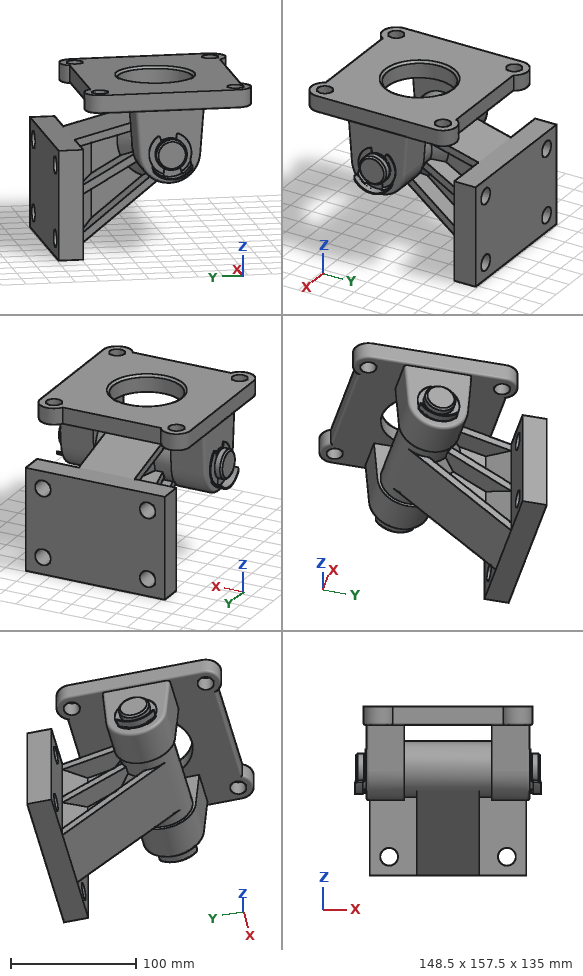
import cadquery as cq
import math


pin_radius = 12.5
pin_half_length = 73.5
pin_chamfer = 1.5
groove_radius = 10.5
groove_width = 2.0

plate_top = 50.0
plate_thickness = 15.0
plate_bottom = plate_top - plate_thickness
plate_hole_offset = 55.0
plate_hole_diameter = 13.0
plate_corner_radius = 12.5
plate_half_width = plate_hole_offset + plate_corner_radius
plate_half_depth = 61.0
plate_edge_fillet = 2.0
opening_diameter = 60.0
opening_chamfer = 2.0
lug_inner = 34.75
lug_outer = 65.25
lug_radius = 25.0
lug_taper = math.radians(4.4)
lug_edge_fillet = 2.5

wall_width = 125.0
wall_front = 70.0
wall_thickness = 20.0
wall_top = 5.0
wall_height = 90.0
wall_bottom = wall_top - wall_height
wall_middle = wall_top - wall_height / 2
wall_hole_diameter = 14.0
wall_hole_spacing_x = 94.0
wall_hole_spacing_z = 60.0
tube_radius = 22.5
arm_half_width = 25.0
rib_thickness = 6.5
wall_flare = 16.7
web_half_thickness = arm_half_width - wall_flare
tube_flare = 10.0

clip_thickness = 1.0
clip_outer_radius = 17.2
clip_turn = 6.4
slot_half_width = 6.4
slot_corner_radius = 1.2
slot_side_angle = math.radians(13.5)
tab_half_width = 15.6
tab_outer_radius = 20.0
tab_end = 74.25
bend_rise = 1.5
tab_bend = 68.1
tab_corner_radius = 1.5
clip_seat = lug_outer
clip_face = clip_seat + clip_thickness


def cylinder_x(radius, start, end):
    """Cylinder about the X axis between two X positions."""
    return cq.Workplane("YZ").workplane(offset=start).circle(radius).extrude(end - start)


def tangent_point(y, z, radius, side):
    """Where the line from (y, z) touches a circle about the pin axis; side is +1 above, -1 below."""
    direction = math.atan2(z, y) + side * math.acos(radius / math.hypot(y, z))
    return (radius * math.cos(direction), radius * math.sin(direction))


def make_pin():
    pin = cylinder_x(pin_radius, -pin_half_length, pin_half_length)
    pin = pin.faces("<X or >X").chamfer(pin_chamfer)
    groove = cylinder_x(pin_radius, clip_seat, clip_seat + groove_width)
    groove = groove.cut(cylinder_x(groove_radius, clip_seat, clip_seat + groove_width))
    return pin.cut(groove).cut(groove.mirror("YZ"))


def make_lug():
    """Lug on the +X side, tapering down to a round end about the pin axis."""
    tangent_y = lug_radius * math.cos(lug_taper)
    tangent_z = -lug_radius * math.sin(lug_taper)
    top_y = tangent_y + (plate_bottom - tangent_z) * math.tan(lug_taper)
    lug = (
        cq.Workplane("YZ")
        .workplane(offset=lug_inner)
        .moveTo(-top_y, plate_bottom)
        .lineTo(-tangent_y, tangent_z)
        .threePointArc((0, -lug_radius), (tangent_y, tangent_z))
        .lineTo(top_y, plate_bottom)
        .close()
        .extrude(lug_outer - lug_inner)
    )
    return lug.faces(">X").edges("not >Z").fillet(lug_edge_fillet)


def make_yoke():
    corners = [(x, y) for x in (-plate_hole_offset, plate_hole_offset)
               for y in (-plate_hole_offset, plate_hole_offset)]
    base = cq.Workplane("XY").workplane(offset=plate_bottom)
    plate = base.rect(2 * plate_half_width, 2 * plate_hole_offset).extrude(plate_thickness)
    plate = plate.union(base.rect(2 * plate_hole_offset, 2 * plate_half_depth).extrude(plate_thickness))
    plate = plate.union(base.pushPoints(corners).circle(plate_corner_radius).extrude(plate_thickness))
    plate = plate.clean().faces("<Z").edges().fillet(plate_edge_fillet)
    plate = plate.cut(base.pushPoints(corners).circle(plate_hole_diameter / 2).extrude(plate_thickness))
    plate = plate.cut(base.circle(opening_diameter / 2).extrude(plate_thickness))
    rim = plate.faces(">Z").edges(cq.selectors.RadiusNthSelector(-1))
    plate = rim.chamfer(opening_chamfer)
    lug = make_lug()
    yoke = plate.union(lug).union(lug.mirror("YZ"))
    return yoke.cut(cylinder_x(pin_radius, -lug_outer, lug_outer))


def make_arm():
    """Arm between tube and wall: a flared web framed by two flanges and a middle rib."""
    upper = tangent_point(wall_front, wall_top, tube_radius, 1)
    lower = tangent_point(wall_front, wall_bottom, tube_radius, -1)
    outline = (
        cq.Workplane("YZ")
        .polyline([(0, 0), upper, (wall_front, wall_top), (wall_front, wall_bottom), lower])
        .close()
    )
    arm = outline.extrude(arm_half_width, both=True)

    inner_radius = tube_radius - rib_thickness
    upper_slope = math.atan2(upper[1] - wall_top, wall_front - upper[0])
    lower_slope = math.atan2(lower[1] - wall_bottom, wall_front - lower[0])
    inner_top = wall_top - rib_thickness / math.cos(upper_slope)
    inner_bottom = wall_bottom + rib_thickness / math.cos(lower_slope)
    pocket_outline = (
        cq.Workplane("YZ")
        .polyline([
            (0, 0),
            tangent_point(wall_front, inner_top, inner_radius, 1),
            (wall_front, inner_top),
            (wall_front, inner_bottom),
            tangent_point(wall_front, inner_bottom, inner_radius, -1),
        ])
        .close()
        .extrude(arm_half_width)
    )
    rib_reach = math.hypot(wall_front + wall_thickness, wall_middle)
    rib_angle = math.degrees(math.atan2(wall_middle, wall_front))
    rib = (
        cq.Workplane("XY")
        .box(arm_half_width, 2 * rib_reach, rib_thickness, centered=(False, True, True))
        .rotate((0, 0, 0), (1, 0, 0), rib_angle)
    )
    flared_space = (
        cq.Workplane("XY")
        .workplane(offset=wall_bottom)
        .polyline([
            (web_half_thickness, 0),
            (web_half_thickness, wall_front - wall_flare),
            (arm_half_width, wall_front),
            (arm_half_width, 0),
        ])
        .close()
        .extrude(2 * wall_height)
    )
    tube_cone = cq.Workplane(
        cq.Solid.makeCone(
            tube_radius + tube_flare, tube_radius, tube_flare,
            cq.Vector(web_half_thickness, 0, 0), cq.Vector(1, 0, 0),
        )
    )
    tube_cone = tube_cone.union(cylinder_x(tube_radius, web_half_thickness, arm_half_width))
    pocket = pocket_outline.intersect(flared_space).cut(rib).cut(tube_cone)
    return arm.cut(pocket).cut(pocket.mirror("YZ"))


def make_bracket():
    wall = cq.Workplane("XY").box(
        wall_width, wall_thickness, wall_height, centered=(True, False, False)
    ).translate((0, wall_front, wall_bottom))
    holes = (
        cq.Workplane("XZ", origin=(0, 0, wall_middle))
        .rarray(wall_hole_spacing_x, wall_hole_spacing_z, 2, 2)
        .circle(wall_hole_diameter / 2)
        .extrude(-(wall_front + wall_thickness))
    )
    bracket = wall.cut(holes).union(make_arm()).union(cylinder_x(tube_radius, -lug_inner, lug_inner))
    return bracket.cut(cylinder_x(pin_radius, -lug_inner, lug_inner))


def make_slot(side):
    """V-shaped slot from the pin axis outward through the clip; side is +1 above, -1 below."""
    near_half = slot_half_width - pin_radius * math.tan(slot_side_angle)
    far_half = near_half + tab_outer_radius * math.tan(slot_side_angle)
    far = side * tab_outer_radius
    return (
        cq.Workplane("YZ")
        .workplane(offset=clip_seat)
        .polyline([(-near_half, 0), (near_half, 0), (far_half, far), (-far_half, far)])
        .close()
        .extrude(tab_end - clip_seat)
    )


def make_clip():
    """Clip on the +X side: an open flat ring, split below, with a curved tab bent outward."""
    ring = cylinder_x(clip_outer_radius, clip_seat, clip_face).cut(make_slot(1))
    ring = ring.edges("|X and >Z").fillet(slot_corner_radius)
    tab_inner_radius = tab_outer_radius - clip_thickness
    tab = (
        cq.Workplane("XY")
        .polyline([
            (clip_seat, pin_radius),
            (clip_seat, tab_outer_radius - bend_rise),
            (tab_bend, tab_outer_radius),
            (tab_end, tab_outer_radius),
            (tab_end, tab_inner_radius),
            (tab_bend, tab_inner_radius),
            (clip_face, tab_inner_radius - bend_rise),
            (clip_face, pin_radius),
        ])
        .close()
        .revolve(360, (0, 0, 0), (1, 0, 0))
    )
    tab_space = cq.Workplane("XY").box(
        2 * tab_end, 2 * tab_half_width, tab_outer_radius, centered=(True, True, False)
    ).translate((0, 0, -tab_outer_radius))
    lower_slot = make_slot(-1).intersect(cylinder_x(tab_inner_radius, clip_seat, tab_end))
    tab = tab.intersect(tab_space.edges("|Z and >X").fillet(tab_corner_radius))
    clip = ring.union(tab).cut(lower_slot)
    clip = clip.cut(cylinder_x(groove_radius, clip_seat, clip_face))
    return clip.rotate((0, 0, 0), (1, 0, 0), -clip_turn)


pin = make_pin()
yoke = make_yoke()
bracket = make_bracket()
right_clip = make_clip()
clips = [right_clip, right_clip.mirror("YZ")]

result = cq.Compound.makeCompound(
    [bracket.val(), yoke.val(), pin.val(), *[clip.val() for clip in clips]]
)